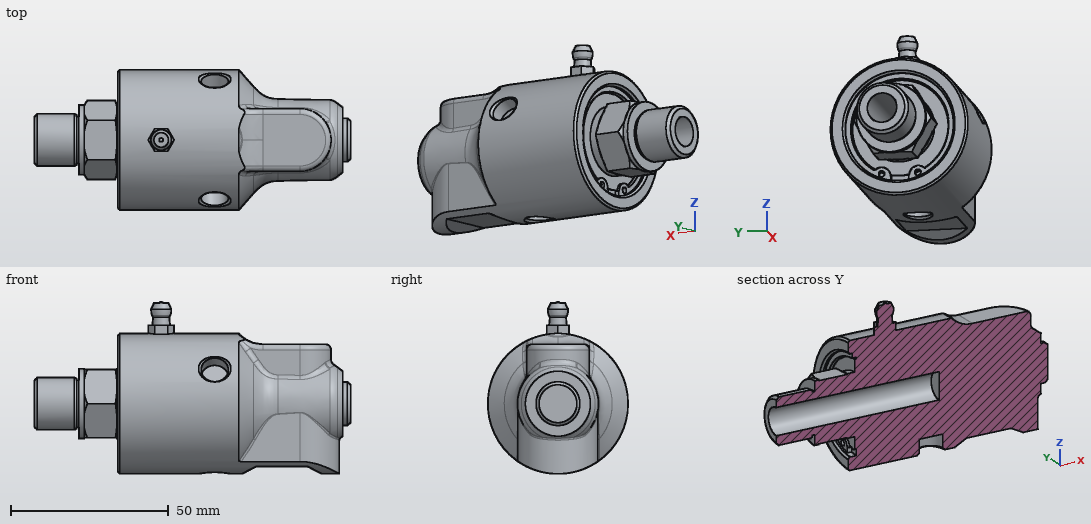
import cadquery as cq
import math

overall_length = 100.23

contact_tolerance = 1e-3

thread_d = 16.66
thread_chamfer = 1.0
thread_end = 12.7
runout_d = 15.9
runout_end = 13.4
relief_d = 14.95
bore_d = 9.5
bore_depth = 60.0
washer_d = 22.2
washer_start = 14.16
washer_end = 15.8
hex_flats = 21.7
hex_end = 26.1
hex_chamfer_slope = 0.73
rear_chamfer_land = 0.4
collar_d = 22.2

body_d = 44.5
body_r = body_d / 2
body_start = 26.45
body_end = 64.8
body_chamfer = 0.7
recess_d = 35.0
recess_mouth_d = 36.4
recess_mouth_depth = 0.8
seal_face_d = 30.95
seal_face_x = body_start + 2.4

ring_start = body_start + 1.55
ring_thickness = 1.5
ring_end = ring_start + ring_thickness
ring_inner_d = 31.7
ring_gap = 5.72
lug_r = 2.9
lug_y = 5.95
lug_z = -15.6
lug_hole_d = 1.98
lug_hole_y = 5.85
lug_hole_z = -14.9

wrench_x = 57.15
wrench_d = 8.6
wrench_mouth_d = 10.26
wrench_chamfer = (wrench_mouth_d - wrench_d) / 2
wrench_floor_r = 16.8
wrench_angles = (30, 150, 270)

shoulder_x = 69.3
shoulder_r = 17.1
waist_x = 77.1
waist_r = 13.05
nose_edge_x = 93.6
nose_edge_r = 12.8
nose_bevel_x = 95.9
nose_bevel_r = 11.7
nose_round_bulge = 0.15
nose_end = 97.7
nose_end_r = 10.3
plug_r = 6.95
plug_tip_r = 6.0
plug_bevel_x = 99.1

upper_half_width = 9.95
upper_arc_x = 84.05
upper_z = 18.85
upper_edge_fillet = 1.8
upper_root_fillet = 2.2
ramp_end_x = 72.3
ramp_slope = (1, -0.8)
ramp_start_z = body_r - 0.3

lower_half_width = 12.65
lower_arc_x = 84.0
lower_root_fillet = 0.8
notch_z = -19.94
notch_top = (70.2, 86.6)
notch_mouth = (65.8, 91.1)

nipple_x = 40.2
nipple_flats = 7.1
nipple_seat_z = 21.65
nipple_hex_top = 24.9
nipple_foot_r = 2.85
neck_r = 2.6
neck_z = 27.3
ball_bottom_r = 2.95
ball_bottom_z = 28.0
ball_r = 3.25
ball_z = 29.3
ball_upper_z = 29.9
nipple_top_r = 2.3
nipple_top_z = 31.9
check_ball_r = 0.75
nipple_tip_z = 32.24


def cylinder_x(diameter, start, end):
    return cq.Workplane("YZ", origin=(start, 0, 0)).circle(diameter / 2).extrude(end - start)


def revolve_x(profile):
    return profile.close().revolve(360, (0, 0, 0), (1, 0, 0))


def make_housing():
    body = cylinder_x(body_d, body_start, body_end).faces("<X").chamfer(body_chamfer)
    recess = revolve_x(
        cq.Workplane("XY")
        .moveTo(body_start, 0)
        .lineTo(body_start, recess_mouth_d / 2)
        .lineTo(body_start + recess_mouth_depth, recess_d / 2)
        .lineTo(ring_end, recess_d / 2)
        .lineTo(ring_end, seal_face_d / 2)
        .lineTo(seal_face_x, seal_face_d / 2)
        .lineTo(seal_face_x, 0)
    )
    return body.cut(recess)


def make_retaining_ring():
    plane = cq.Workplane("YZ", origin=(ring_start, 0, 0))
    lug_points = [(-lug_y, lug_z), (lug_y, lug_z)]
    hole_points = [(-lug_hole_y, lug_hole_z), (lug_hole_y, lug_hole_z)]
    disc = plane.circle(recess_d / 2).extrude(ring_thickness)
    ring = plane.circle(recess_d / 2).circle(ring_inner_d / 2).extrude(ring_thickness)
    lugs = plane.pushPoints(lug_points).circle(lug_r).extrude(ring_thickness).intersect(disc)
    gap = plane.center(0, -recess_d / 2).rect(ring_gap, recess_d / 2).extrude(ring_thickness)
    holes = plane.pushPoints(hole_points).circle(lug_hole_d / 2).extrude(ring_thickness)
    return ring.union(lugs).cut(gap).cut(holes)


def make_shaft():
    thread = cylinder_x(thread_d, 0, thread_end).faces("<X").chamfer(thread_chamfer)
    runout = revolve_x(
        cq.Workplane("XY")
        .moveTo(thread_end, 0)
        .lineTo(thread_end, thread_d / 2)
        .lineTo(runout_end, runout_d / 2)
        .lineTo(runout_end, 0)
    )
    relief = cylinder_x(relief_d, runout_end, washer_start)
    washer = cylinder_x(washer_d, washer_start, washer_end)
    collar = cylinder_x(collar_d, hex_end, seal_face_x)
    return thread.union(runout).union(relief).union(washer).union(make_hexagon()).union(collar)


def make_hexagon():
    corner_d = hex_flats / math.cos(math.pi / 6)
    corner_r = corner_d / 2
    front_chamfer = (corner_r - washer_d / 2) * hex_chamfer_slope
    rear_chamfer = (corner_r - collar_d / 2) * hex_chamfer_slope * rear_chamfer_land
    prism = (
        cq.Workplane("YZ", origin=(washer_end, 0, 0))
        .polygon(6, corner_d)
        .extrude(hex_end - washer_end)
    )
    envelope = revolve_x(
        cq.Workplane("XY")
        .moveTo(washer_end, 0)
        .lineTo(washer_end, washer_d / 2)
        .lineTo(washer_end + front_chamfer, corner_r)
        .lineTo(hex_end - rear_chamfer, corner_r)
        .lineTo(hex_end, collar_d / 2)
        .lineTo(hex_end, 0)
    )
    return prism.intersect(envelope)


def make_nose():
    round_middle = (
        (nose_edge_x + nose_bevel_x) / 2,
        (nose_edge_r + nose_bevel_r) / 2 + nose_round_bulge,
    )
    slope = (shoulder_x - body_end, shoulder_r - body_r)
    return revolve_x(
        cq.Workplane("XY")
        .moveTo(body_end, 0)
        .lineTo(body_end, body_r)
        .lineTo(shoulder_x, shoulder_r)
        .spline([(waist_x, waist_r)], tangents=[slope, (1, 0)], includeCurrent=True)
        .lineTo(nose_edge_x, nose_edge_r)
        .threePointArc(round_middle, (nose_bevel_x, nose_bevel_r))
        .lineTo(nose_end, nose_end_r)
        .lineTo(nose_end, plug_r)
        .lineTo(plug_bevel_x, plug_r)
        .lineTo(overall_length, plug_tip_r)
        .lineTo(overall_length, 0)
    )


def boss_prism(half_width, arc_x, height):
    """Vertical prism from the axis plane, rounded at its +X end."""
    return (
        cq.Workplane("XY")
        .moveTo(body_end, -half_width)
        .lineTo(arc_x, -half_width)
        .threePointArc((arc_x + half_width, 0), (arc_x, half_width))
        .lineTo(body_end, half_width)
        .close()
        .extrude(height)
    )


def make_upper_boss():
    """Round-ended boss whose flat top curves up to the housing rim."""
    profile = (
        cq.Workplane("XZ")
        .moveTo(body_end, 0)
        .lineTo(body_end, ramp_start_z)
        .spline([(ramp_end_x, upper_z)], tangents=[ramp_slope, (1, 0)], includeCurrent=True)
        .lineTo(upper_arc_x + upper_half_width, upper_z)
        .lineTo(upper_arc_x + upper_half_width, 0)
        .close()
        .extrude(upper_half_width, both=True)
    )
    boss = boss_prism(upper_half_width, upper_arc_x, body_d).intersect(profile)
    top_rim = [
        edge
        for edge in boss.edges("not |Y").vals()
        if edge.positionAt(0.5).z > upper_z - contact_tolerance
    ]
    return boss.newObject(top_rim).fillet(upper_edge_fillet)


def lies_on(edge, shape):
    middle = cq.Vertex.makeVertex(*edge.positionAt(0.5).toTuple())
    return shape.distance(middle) < contact_tolerance


def blend_boss(tail, boss, radius):
    """Join a boss to the tail and fillet the edges where their surfaces meet."""
    tail_surface = tail.val().Shells()[0]
    boss_surface = boss.val().Shells()[0]
    joined = tail.union(boss)
    root_edges = [
        edge
        for edge in joined.edges().vals()
        if lies_on(edge, tail_surface)
        and lies_on(edge, boss_surface)
        and edge.positionAt(0.5).x > body_end + contact_tolerance
    ]
    return joined.newObject(root_edges).fillet(radius)


def make_notch():
    """Flat transverse notch across the underside of the lower boss."""
    return (
        cq.Workplane("XZ")
        .moveTo(notch_mouth[0], -body_r)
        .lineTo(notch_top[0], notch_z)
        .lineTo(notch_top[1], notch_z)
        .lineTo(notch_mouth[1], -body_r)
        .close()
        .extrude(body_r, both=True)
    )


def make_tail():
    """Nose with both bosses blended into it, held within the housing diameter."""
    lower_boss = boss_prism(lower_half_width, lower_arc_x, -body_r)
    tail = blend_boss(make_nose(), lower_boss, lower_root_fillet)
    tail = blend_boss(tail, make_upper_boss(), upper_root_fillet)
    return tail.intersect(cylinder_x(body_d, body_end, overall_length)).cut(make_notch())


def make_wrench_hole(angle):
    hole = (
        cq.Workplane("XY", origin=(wrench_x, 0, wrench_floor_r))
        .circle(wrench_d / 2)
        .extrude(body_r - wrench_floor_r)
    )
    mouth = cq.Workplane(
        cq.Solid.makeCone(
            wrench_d / 2,
            wrench_mouth_d / 2,
            wrench_chamfer,
            cq.Vector(wrench_x, 0, body_r - wrench_chamfer),
            cq.Vector(0, 0, 1),
        )
    )
    return hole.union(mouth).rotate((0, 0, 0), (1, 0, 0), angle - 90)


def make_nipple():
    hexagon = (
        cq.Workplane("XY", origin=(nipple_x, 0, nipple_seat_z))
        .polygon(6, nipple_flats / math.cos(math.pi / 6))
        .extrude(nipple_hex_top - nipple_seat_z)
    )
    head = (
        cq.Workplane("XZ", origin=(nipple_x, 0, 0))
        .moveTo(0, nipple_hex_top)
        .lineTo(nipple_foot_r, nipple_hex_top)
        .lineTo(neck_r, neck_z)
        .lineTo(ball_bottom_r, ball_bottom_z)
        .threePointArc((ball_r, ball_z), (ball_r, ball_upper_z))
        .lineTo(nipple_top_r, nipple_top_z)
        .lineTo(0, nipple_top_z)
        .close()
        .revolve(360, (0, 0, 0), (0, 1, 0))
    )
    check_ball = cq.Workplane("XY", origin=(nipple_x, 0, nipple_tip_z - check_ball_r)).sphere(check_ball_r)
    return hexagon.union(head).union(check_ball)


result = make_housing().union(make_retaining_ring()).union(make_tail())
for wrench_angle in wrench_angles:
    result = result.cut(make_wrench_hole(wrench_angle))
result = result.union(make_shaft()).union(make_nipple())
result = result.cut(cylinder_x(bore_d, 0, bore_depth))